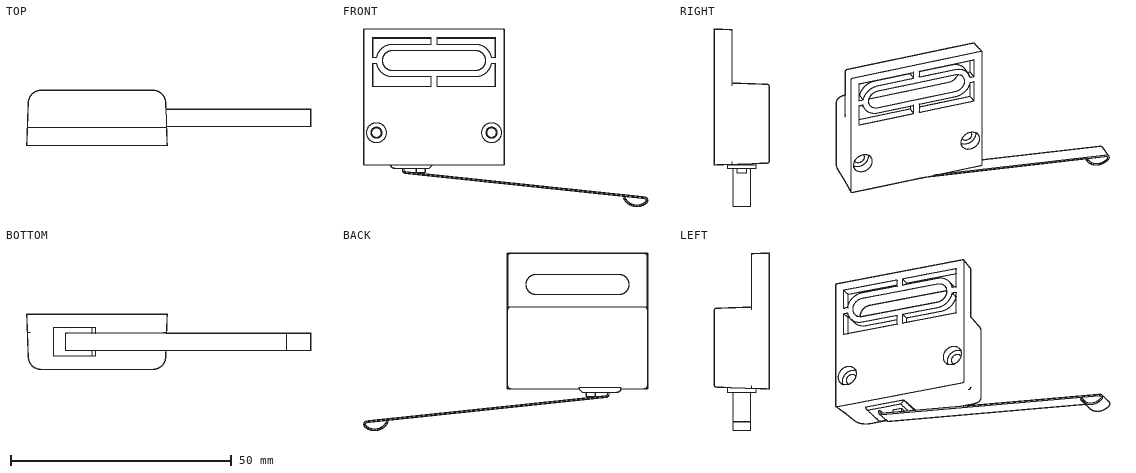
import cadquery as cq
import math


plate_width = 31.85
plate_height = 30.8
plate_thickness = 4.1
housing_depth = 12.55
cover_top = 18.6
draft_angle = 2.0
front_corner_radius = 0.25
rim_radius = 0.6
cover_back_radius = 2.95
center_x = plate_width / 2
center_y = housing_depth / 2
plate_draft = plate_thickness * math.tan(math.radians(draft_angle))

slot_width = 4.5
slot_spacing = 18.8
slot_z = 23.65
slot_wall = 1.4
pocket_width = 27.9
pocket_bottom = 17.8
pocket_top = 28.9
pocket_depth = 2.1
pocket_taper = 5.0
web_thickness = 1.4

screw_spacing = 26.05
screw_z = 7.3
screw_head_diameter = 4.5
screw_head_depth = 2.3
screw_diameter = 2.5
screw_shank_depth = 3.2
screw_taper = 3.0

boss_left = 6.05
boss_right = 15.55
boss_width = 6.5
boss_bottom = -0.8
boss_root = 0.65
boss_left_radius = 0.95
boss_chamfer = 0.8

lever_width = 4.0
lever_thickness = 0.4
lever_angle = math.radians(6.0)
bend_outer_diameter = 1.6
bend_radius = (bend_outer_diameter - lever_thickness) / 2
lever_left = 8.75
lever_leg_x = lever_left + lever_thickness / 2
lever_bend_z = -1.1
lever_tip_x = 64.3
hook_turn = math.radians(133.0)
hook_end_x = 59.0
hook_end_z = -7.4

plunger_x = 12.9
plunger_width = 2.1
plunger_bottom = -1.75
plunger_round = 0.3


def make_plate():
    """Mounting plate with rounded corners, slightly smaller at the back."""
    front = cq.Sketch().rect(plate_width, plate_height)
    front = front.vertices().fillet(front_corner_radius)
    back = cq.Sketch().rect(plate_width - 2 * plate_draft, plate_height - 2 * plate_draft)
    back = back.vertices().fillet(rim_radius)
    back = back.moved(cq.Location(cq.Vector(0, 0, -plate_thickness)))
    return (
        cq.Workplane("XZ", origin=(center_x, 0, plate_height / 2))
        .placeSketch(front, back)
        .loft()
    )


def make_cover():
    """Drafted block behind the lower part of the plate, with a rounded back and rims."""
    cover_height = cover_top - plate_draft
    cover = (
        cq.Workplane("XZ", origin=(center_x, plate_thickness, plate_draft + cover_height / 2))
        .rect(plate_width - 2 * plate_draft, cover_height)
        .extrude(plate_thickness - housing_depth, taper=draft_angle)
    )
    cover = cover.faces(">Y").edges("<X or >X").fillet(cover_back_radius)
    for side in ("<Z", ">Z"):
        cover = cover.faces(side).edges("not <Y").fillet(rim_radius)
    return cover


def make_boss():
    """Boss under the housing, rounded on its left and chamfered on its right."""
    boss = (
        cq.Workplane("XY", origin=((boss_left + boss_right) / 2, center_y, boss_bottom))
        .rect(boss_right - boss_left, boss_width)
        .extrude(boss_root - boss_bottom)
    )
    boss = boss.faces("<Z").edges("<X").fillet(boss_left_radius)
    return boss.faces("<Z").edges(">X").chamfer(boss_chamfer)


def slot_prism(width, depth):
    """Horizontal slot shape running back from the front face."""
    return (
        cq.Workplane("XZ", origin=(center_x, 0, slot_z))
        .slot2D(slot_spacing + width, width)
        .extrude(-depth)
    )


def front_bar(width, height, center_z, taper=0):
    """Rectangular bar as deep as the pockets, optionally narrowing with depth."""
    return (
        cq.Workplane("XZ", origin=(center_x, 0, center_z))
        .rect(width, height)
        .extrude(-pocket_depth, taper=taper)
    )


def make_pockets():
    """Four pockets left between the slot's wall and the webs that carry it."""
    pocket_height = pocket_top - pocket_bottom
    pocket_z = (pocket_top + pocket_bottom) / 2
    pockets = front_bar(pocket_width, pocket_height, pocket_z)
    tapered_bar = front_bar(pocket_width, 2 * pocket_height, pocket_bottom, pocket_taper)
    pockets = pockets.intersect(tapered_bar)
    pockets = pockets.cut(slot_prism(slot_width + 2 * slot_wall, pocket_depth))
    pockets = pockets.cut(front_bar(web_thickness, 2 * pocket_height, slot_z))
    return pockets.cut(front_bar(pocket_width, web_thickness, slot_z))


def make_screw_holes():
    """Blind counterbored holes in the lower part of the front face."""
    front = cq.Workplane("XZ", origin=(center_x, 0, screw_z))
    spots = front.rarray(screw_spacing, 0.65, 2, 1)
    heads = spots.circle(screw_head_diameter / 2).extrude(-screw_head_depth)
    deep_spots = front.workplane(offset=-screw_head_depth).rarray(screw_spacing, 0.65, 2, 1)
    shanks = deep_spots.circle(screw_diameter / 2).extrude(-screw_shank_depth, taper=screw_taper)
    return heads.union(shanks)


def make_housing():
    housing = make_plate().union(make_cover()).union(make_boss())
    housing = housing.cut(slot_prism(slot_width, plate_thickness))
    housing = housing.cut(make_pockets())
    return housing.cut(make_screw_holes())


def make_plunger():
    """Square button between the boss and the lever, rounded on its left and right."""
    return (
        cq.Workplane("XY", origin=(plunger_x, center_y, boss_bottom))
        .rect(plunger_width, plunger_width)
        .extrude(plunger_bottom - boss_bottom)
        .faces("<Z")
        .edges("|Y")
        .fillet(plunger_round)
    )


def point_on_bend(center, angle):
    """Point of a lever bend, at an angle measured from +X towards +Z."""
    return (center[0] + bend_radius * math.cos(angle), center[1] + bend_radius * math.sin(angle))


def make_lever():
    """Bent strip: a short leg, a long sloping arm and a hook curled back under the tip."""
    leg_center = (lever_leg_x + bend_radius, lever_bend_z)
    leg_end_angle = 1.5 * math.pi - lever_angle
    arm_start = point_on_bend(leg_center, leg_end_angle)
    leg_middle = point_on_bend(leg_center, (math.pi + leg_end_angle) / 2)

    tip_center_x = lever_tip_x - lever_thickness / 2 - bend_radius
    tip_start_angle = math.pi / 2 - lever_angle
    arm_end_x = tip_center_x + bend_radius * math.cos(tip_start_angle)
    arm_end_z = arm_start[1] - (arm_end_x - arm_start[0]) * math.tan(lever_angle)
    tip_center = (tip_center_x, arm_end_z - bend_radius * math.sin(tip_start_angle))
    tip_middle = point_on_bend(tip_center, tip_start_angle - hook_turn / 2)
    hook_start = point_on_bend(tip_center, tip_start_angle - hook_turn)

    path = (
        cq.Workplane("XZ", origin=(0, center_y, 0))
        .moveTo(lever_leg_x, boss_bottom)
        .lineTo(lever_leg_x, lever_bend_z)
        .threePointArc(leg_middle, arm_start)
        .lineTo(arm_end_x, arm_end_z)
        .threePointArc(tip_middle, hook_start)
        .tangentArcPoint((hook_end_x, hook_end_z), relative=False)
    )
    return (
        cq.Workplane("XY", origin=(lever_leg_x, center_y, boss_bottom))
        .rect(lever_thickness, lever_width)
        .sweep(path)
    )


housing = make_housing()
plunger = make_plunger()
lever = make_lever()

result = cq.Compound.makeCompound(
    [housing.solids().val(), plunger.solids().val(), lever.solids().val()]
)